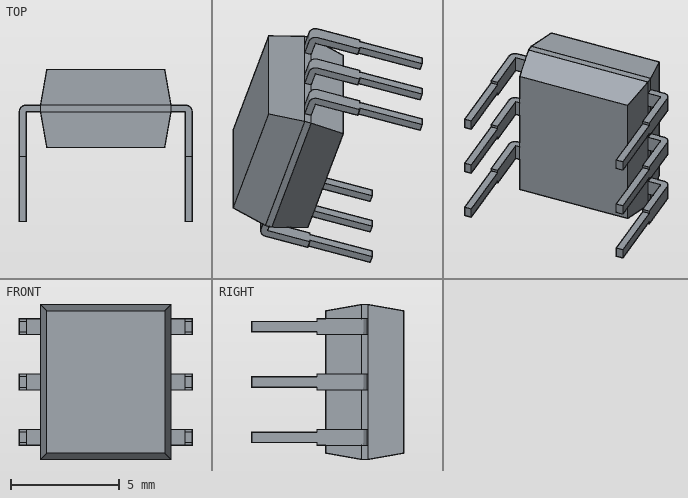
import cadquery as cq
import math

overall_width = 7.95
package_width = 6.0
package_height = 7.12
half_depth = 1.645
band_thickness = 0.31
draft_angle = 10.0

leads_per_side = 3
lead_pitch = 2.545
lead_thickness = 0.33
shoulder_width = 0.74
tip_width = 0.485
shoulder_length = 2.35
lead_length = 5.36
bend_radius = band_thickness

band_front = -band_thickness / 2
band_back = band_thickness / 2
draft_inset = half_depth * math.tan(math.radians(draft_angle))


def make_band():
    return cq.Workplane("XY").box(package_width, band_thickness, package_height)


def make_half(direction):
    """Tapered half of the package; direction is -1 for the front half, +1 for the back half."""
    contact_plane = cq.Plane(
        origin=(0, direction * band_thickness / 2, 0),
        xDir=(1, 0, 0),
        normal=(0, direction, 0),
    )
    return (
        cq.Workplane(contact_plane)
        .rect(package_width, package_height)
        .workplane(offset=half_depth)
        .rect(package_width - 2 * draft_inset, package_height - 2 * draft_inset)
        .loft(ruled=True)
    )


def make_lead(side, height):
    """L-shaped lead at one Z height; side is -1 for the -X row, +1 for the +X row."""
    root_x = side * package_width / 2
    outer_x = side * overall_width / 2
    inner_x = outer_x - side * lead_thickness
    step_y = band_back - shoulder_length
    tip_y = band_back - lead_length

    shoulder = (
        cq.Workplane("XY", origin=(0, 0, height))
        .moveTo(root_x, band_back)
        .lineTo(outer_x, band_back)
        .lineTo(outer_x, step_y)
        .lineTo(inner_x, step_y)
        .lineTo(inner_x, band_front)
        .lineTo(root_x, band_front)
        .close()
        .extrude(shoulder_width / 2, both=True)
    )
    bend_corner = cq.selectors.NearestToPointSelector((outer_x, band_back, height))
    shoulder = shoulder.edges(bend_corner).fillet(bend_radius)

    tip = (
        cq.Workplane("XY", origin=(0, 0, height))
        .moveTo(outer_x, step_y)
        .lineTo(inner_x, step_y)
        .lineTo(inner_x, tip_y)
        .lineTo(outer_x, tip_y)
        .close()
        .extrude(tip_width / 2, both=True)
    )
    return shoulder.union(tip).clean()


band = make_band()
front_half = make_half(-1)
back_half = make_half(1)

lead_heights = [(row - (leads_per_side - 1) / 2) * lead_pitch for row in range(leads_per_side)]
leads = [make_lead(side, height).val() for side in (-1, 1) for height in lead_heights]

result = cq.Compound.makeCompound([band.val(), front_half.val(), back_half.val(), *leads])